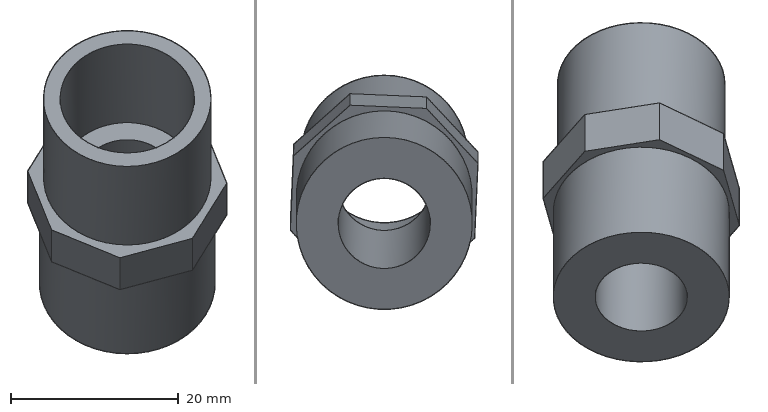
import cadquery as cq
import math

total_height = 37.5
lower_height = 15.0
upper_height = 16.0
collar_height = total_height - lower_height - upper_height

lower_diameter = 21.0
upper_diameter = 20.0
collar_across_flats = 22.0
collar_sides = 8

bore_diameter = 11.0
socket_diameter = 16.0
socket_depth = upper_height


def cylinder(diameter, height, base_z):
    """Upright cylinder on the Z axis, starting at base_z."""
    return cq.Workplane("XY").workplane(offset=base_z).circle(diameter / 2).extrude(height)


def octagonal_collar():
    """Regular octagonal prism with flats facing the X and Y axes."""
    half_side_angle = 180 / collar_sides
    across_corners = collar_across_flats / math.cos(math.radians(half_side_angle))
    return (
        cq.Workplane("XY")
        .polygon(collar_sides, across_corners)
        .extrude(collar_height)
        .rotate((0, 0, 0), (0, 0, 1), half_side_angle)
        .translate((0, 0, lower_height))
    )


body = (
    cylinder(lower_diameter, lower_height, 0)
    .union(octagonal_collar())
    .union(cylinder(upper_diameter, upper_height, lower_height + collar_height))
)

through_bore = cylinder(bore_diameter, total_height, 0)
socket = cylinder(socket_diameter, socket_depth, total_height - socket_depth)

result = body.cut(through_bore).cut(socket)